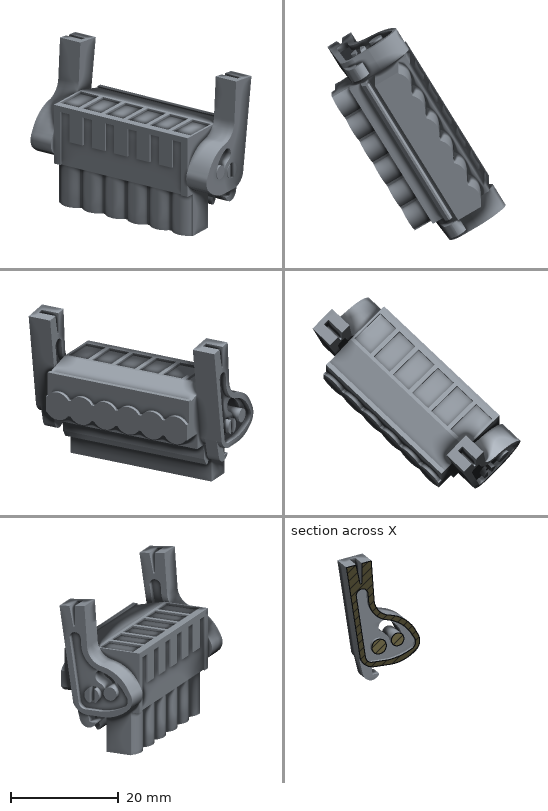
import cadquery as cq
import math


POLE_COUNT = 6
PITCH = 5.0
POLE_XS = [PITCH * (i - (POLE_COUNT - 1) / 2) for i in range(POLE_COUNT)]
GAP_XS = [(left + right) / 2 for left, right in zip(POLE_XS, POLE_XS[1:])]

HOUSING_LENGTH = POLE_COUNT * PITCH
HALF_LENGTH = HOUSING_LENGTH / 2
FRONT_Y = -7.5
TOP_Z = 7.85
BOTTOM_Z = -3.9
SLOPE_TOP_Y = 1.43
SLOPE_LOW_Y = 7.03
SLOPE_LOW_Z = 6.5
REAR_WALL_Y = 7.9
REAR_RIM_Z = 6.8
REAR_STEP_Y = 4.7

BARREL_REAR_Y = 8.6
BARREL_RADIUS = 2.75
BARREL_AXIS_Z = 0.75
WEB_HALF_HEIGHT = 1.55

BLOCK_BACK_Y = -0.8
BLOCK_WEB_Y = -5.8
BLOCK_FRONT_Y = -6.75
BLOCK_BOTTOM_Z = -12.25
BLOCK_ROUND_WIDTH = 4.45

WINDOW_WIDTH = 4.15
WINDOW_FRONT_Y = -6.05
WINDOW_BACK_Y = 0.8
WINDOW_DEPTH = 1.2
PLATE_RECESS = 0.5

COMB_DEPTH = 0.4
COMB_TOOTH_WIDTH = 2.05
COMB_TOP_Z = 6.7
COMB_BASE_Z = 1.15

LEVER_WIDTH = 4.55
LEVER_OUTER_X = 19.75
LEVER_LEFT_XS = [-LEVER_OUTER_X, LEVER_OUTER_X - LEVER_WIDTH]
POCKET_DEPTH = 1.07
GRIP_SLOT_DEPTH = 3.57
HOOK_OFFSET = 1.07
HOOK_WIDTH = 2.5

PIN_END_X = 19.85
PIVOT_RADIUS = 1.5
PIVOT_SLOT_WIDTH = 1.0
PIVOT_SLOT_OFFSET_Y = -0.05
PIVOT_SLOT_DEPTH = 2.78
STOP_RADIUS = 1.3
STOP_DISTANCE = 3.85
STOP_ANGLE = 167.0
STOP_TRAVEL = 54.0


def box(x0, x1, y0, y1, z0, z1):
    return cq.Workplane("XY").box(x1 - x0, y1 - y0, z1 - z0, centered=False).translate((x0, y0, z0))


def profile_at(x):
    """YZ sketch plane at x, extruding towards +X."""
    return cq.Workplane("YZ", origin=(x, 0, 0))


def polar(radius, angle):
    turn = math.radians(angle)
    return (radius * math.cos(turn), radius * math.sin(turn))


def make_main_block():
    outline = [
        (FRONT_Y, BOTTOM_Z),
        (FRONT_Y, TOP_Z),
        (SLOPE_TOP_Y, TOP_Z),
        (SLOPE_LOW_Y, SLOPE_LOW_Z),
        (SLOPE_LOW_Y, REAR_RIM_Z),
        (REAR_WALL_Y, REAR_RIM_Z),
        (REAR_WALL_Y, BARREL_AXIS_Z - WEB_HALF_HEIGHT),
        (REAR_STEP_Y, BARREL_AXIS_Z - WEB_HALF_HEIGHT),
        (REAR_STEP_Y, BOTTOM_Z),
    ]
    return profile_at(-HALF_LENGTH).polyline(outline).close().extrude(HOUSING_LENGTH)


def make_rear_barrels():
    barrels = box(
        -HALF_LENGTH, HALF_LENGTH, REAR_STEP_Y, BARREL_REAR_Y,
        BARREL_AXIS_Z - WEB_HALF_HEIGHT, BARREL_AXIS_Z + WEB_HALF_HEIGHT,
    )
    for x in POLE_XS:
        barrel = (
            cq.Workplane("XZ", origin=(x, BARREL_REAR_Y, BARREL_AXIS_Z))
            .circle(BARREL_RADIUS)
            .extrude(BARREL_REAR_Y - REAR_STEP_Y)
        )
        slice_of_pole = box(
            x - PITCH / 2, x + PITCH / 2, REAR_STEP_Y, BARREL_REAR_Y,
            BARREL_AXIS_Z - BARREL_RADIUS, BARREL_AXIS_Z + BARREL_RADIUS,
        )
        barrels = barrels.union(barrel.intersect(slice_of_pole))
    return barrels


def make_lower_block():
    half_round = BLOCK_ROUND_WIDTH / 2
    outline = cq.Workplane("XY", origin=(0, 0, BLOCK_BOTTOM_Z)).moveTo(-HALF_LENGTH, BLOCK_BACK_Y)
    outline = outline.lineTo(-HALF_LENGTH, BLOCK_WEB_Y)
    for x in POLE_XS:
        outline = outline.lineTo(x - half_round, BLOCK_WEB_Y)
        outline = outline.threePointArc((x, BLOCK_FRONT_Y), (x + half_round, BLOCK_WEB_Y))
    outline = outline.lineTo(HALF_LENGTH, BLOCK_WEB_Y).lineTo(HALF_LENGTH, BLOCK_BACK_Y)
    return outline.close().extrude(BOTTOM_Z - BLOCK_BOTTOM_Z)


def make_window_fill(x, depth_from, depth_to):
    return box(
        x - WINDOW_WIDTH / 2, x + WINDOW_WIDTH / 2, WINDOW_FRONT_Y, WINDOW_BACK_Y,
        TOP_Z - depth_to, TOP_Z - depth_from,
    )


def make_comb_recess():
    half_tooth = COMB_TOOTH_WIDTH / 2
    back_y = FRONT_Y + COMB_DEPTH
    recess = box(
        POLE_XS[0] - half_tooth, POLE_XS[-1] + half_tooth, FRONT_Y, back_y, BOTTOM_Z, COMB_TOP_Z
    )
    for x in GAP_XS:
        half_gap = (PITCH - COMB_TOOTH_WIDTH) / 2
        recess = recess.cut(
            box(x - half_gap, x + half_gap, FRONT_Y, back_y, COMB_BASE_Z, COMB_TOP_Z)
        )
    return recess


def make_latch():
    """Latching strip with a rounded tip, hanging under the housing behind the lower block."""
    return (
        profile_at(-HALF_LENGTH)
        .moveTo(0.67, BOTTOM_Z)
        .lineTo(1.1, -5.65)
        .lineTo(1.0, -6.8)
        .threePointArc((0.5, -7.25), (0.8, -8.18))
        .lineTo(1.2, -8.18)
        .lineTo(2.02, -6.83)
        .lineTo(2.3, BOTTOM_Z)
        .close()
        .extrude(HOUSING_LENGTH)
    )


def make_left_pins():
    """Split pivot pin and stop pin standing on the -X end of the housing."""
    length = PIN_END_X - HALF_LENGTH
    pivot = profile_at(-PIN_END_X).circle(PIVOT_RADIUS).extrude(length)
    half_slot = PIVOT_SLOT_WIDTH / 2
    slot_y = PIVOT_SLOT_OFFSET_Y
    slot = box(
        -PIN_END_X, PIVOT_SLOT_DEPTH - PIN_END_X, slot_y - half_slot, slot_y + half_slot,
        -PIVOT_RADIUS, PIVOT_RADIUS,
    )
    rounded_floor = (
        cq.Workplane("XY", origin=(PIVOT_SLOT_DEPTH - PIN_END_X, slot_y, -PIVOT_RADIUS))
        .circle(half_slot)
        .extrude(2 * PIVOT_RADIUS)
    )
    pivot = pivot.cut(slot).cut(rounded_floor)
    stop = (
        profile_at(-PIN_END_X)
        .center(*polar(STOP_DISTANCE, STOP_ANGLE))
        .circle(STOP_RADIUS)
        .extrude(length)
    )
    return pivot.union(stop)


def make_housing():
    body = make_main_block().union(make_rear_barrels()).union(make_lower_block()).union(make_latch())
    for x in POLE_XS:
        body = body.cut(make_window_fill(x, 0, WINDOW_DEPTH))
    body = body.cut(make_comb_recess())
    left_pins = make_left_pins()
    return body.union(left_pins).union(left_pins.mirror("YZ"))


def make_plate(x):
    return make_window_fill(x, PLATE_RECESS, WINDOW_DEPTH)


def make_lever_plate():
    return (
        profile_at(0)
        .moveTo(6.65, 16.67)
        .lineTo(1.55, 17.25)
        .lineTo(1.0, 9.53)
        .threePointArc((0.15, 7.25), (-2.02, 6.0))
        .tangentArcPoint((-7.62, 1.8), relative=False)
        .lineTo(-7.9, 1.27)
        .threePointArc((-8.25, -0.08), (-7.7, -1.6))
        .threePointArc((-5.25, -3.25), (-2.25, BOTTOM_Z))
        .lineTo(1.2, BOTTOM_Z)
        .threePointArc((2.85, -3.2), (3.85, -1.9))
        .close()
        .extrude(LEVER_WIDTH)
    )


def make_pocket():
    return (
        profile_at(0)
        .moveTo(4.6, 10.85)
        .threePointArc((3.5, 11.9), (2.3, 10.9))
        .lineTo(2.2, 9.2)
        .threePointArc((1.15, 6.75), (-1.6, 5.05))
        .threePointArc((-4.55, 3.7), (-6.9, 0.95))
        .threePointArc((-7.35, -0.08), (-6.63, -1.4))
        .threePointArc((-4.55, -2.3), (-2.0, -2.85))
        .lineTo(1.55, -2.85)
        .threePointArc((2.35, -2.45), (2.75, -1.63))
        .close()
        .extrude(POCKET_DEPTH)
    )


def make_grip_slot():
    return (
        profile_at(0)
        .moveTo(4.72, 17.25)
        .lineTo(3.85, 13.2)
        .threePointArc((3.65, 13.02), (3.5, 13.2))
        .lineTo(3.5, 17.25)
        .close()
        .extrude(GRIP_SLOT_DEPTH)
    )


def make_stop_slot():
    """Curved through-slot about the pivot axis, with the stop pin at one end."""
    inner = STOP_DISTANCE - STOP_RADIUS
    outer = STOP_DISTANCE + STOP_RADIUS
    first = STOP_ANGLE
    last = STOP_ANGLE - STOP_TRAVEL
    middle = (first + last) / 2
    slot = (
        profile_at(0)
        .moveTo(*polar(inner, first))
        .threePointArc(polar(inner, middle), polar(inner, last))
        .lineTo(*polar(outer, last))
        .threePointArc(polar(outer, middle), polar(outer, first))
        .close()
        .extrude(LEVER_WIDTH)
    )
    for angle in (first, last):
        end = profile_at(0).center(*polar(STOP_DISTANCE, angle)).circle(STOP_RADIUS)
        slot = slot.union(end.extrude(LEVER_WIDTH))
    return slot


def make_hook():
    return (
        profile_at(HOOK_OFFSET)
        .moveTo(3.85, -1.9)
        .lineTo(3.0, -5.25)
        .threePointArc((2.42, -6.27), (1.4, -6.75))
        .threePointArc((0.45, -6.5), (-0.28, -5.8))
        .lineTo(-0.28, -5.55)
        .lineTo(1.05, -5.65)
        .lineTo(1.27, BOTTOM_Z)
        .lineTo(1.27, -1.9)
        .close()
        .extrude(HOOK_WIDTH)
    )


def make_lever(left_x):
    pivot_hole = profile_at(0).circle(PIVOT_RADIUS).extrude(LEVER_WIDTH)
    lever = make_lever_plate().union(make_hook())
    lever = lever.cut(make_pocket()).cut(make_grip_slot())
    lever = lever.cut(pivot_hole).cut(make_stop_slot())
    return lever.translate((left_x, 0, 0))


housing = make_housing()
plates = [make_plate(x) for x in POLE_XS]
levers = [make_lever(x) for x in LEVER_LEFT_XS]

result = cq.Compound.makeCompound(
    [housing.val(), *[plate.val() for plate in plates], *[lever.val() for lever in levers]]
)